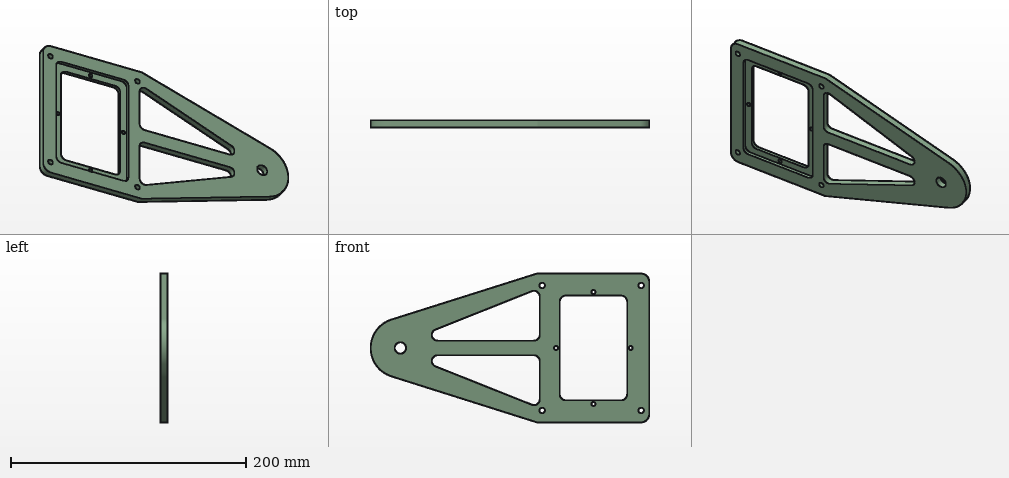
import cadquery as cq
import math

overall_length = 237.2
plate_height = 127.0
thickness = 6.35
nose_radius = 25.4
nose_hole_diameter = 9.525
flat_edge_length = 95.25
plate_corner_radius = 7.62

half_height = plate_height / 2
rear_x = overall_length - nose_radius
shoulder_x = rear_x - flat_edge_length

window_width = 57.15
window_height = 88.9
window_corner_radius = 5.08
window_center_x = rear_x - flat_edge_length / 2
small_hole_diameter = 3.2
small_hole_spacing_x = 63.5
small_hole_spacing_z = 95.25

ledge_width = 6.35
recess_depth = thickness / 2
recess_corner_radius = window_corner_radius

mount_hole_diameter = 4.5
mount_hole_spacing_x = 84.2
mount_hole_spacing_z = 106.3
mount_hole_rear_margin = 7.0
mount_center_x = rear_x - mount_hole_rear_margin - mount_hole_spacing_x / 2

rib_width = 12.7
triangle_rear_x = 118.4
triangle_peak_z = 50.8
triangle_slope_angle = 21.7
triangle_corner_radius = 4.7625


def extrude_through(sketch):
    """Extrude an XZ sketch through the thickness, centred on Y = 0."""
    return sketch.extrude(thickness / 2, both=True)


def make_plate():
    shoulder_distance = math.hypot(shoulder_x, half_height)
    shoulder_direction = math.atan2(half_height, shoulder_x)
    tangent_angle = shoulder_direction + math.acos(nose_radius / shoulder_distance)
    tangent_x = nose_radius * math.cos(tangent_angle)
    tangent_z = nose_radius * math.sin(tangent_angle)
    outline = (
        cq.Workplane("XZ")
        .moveTo(tangent_x, -tangent_z)
        .threePointArc((-nose_radius, 0), (tangent_x, tangent_z))
        .lineTo(shoulder_x, half_height)
        .lineTo(rear_x, half_height)
        .lineTo(rear_x, -half_height)
        .lineTo(shoulder_x, -half_height)
        .close()
    )
    return extrude_through(outline).edges("|Y and >X").fillet(plate_corner_radius)


def make_window():
    outline = cq.Workplane("XZ").center(window_center_x, 0).rect(window_width, window_height)
    return extrude_through(outline).edges("|Y").fillet(window_corner_radius)


def make_recess():
    """Shallow pocket on the +Y face, larger than the window by the ledge on every side."""
    floor_y = thickness / 2 - recess_depth
    return (
        cq.Workplane("XZ", origin=(window_center_x, floor_y, 0))
        .rect(window_width + 2 * ledge_width, window_height + 2 * ledge_width)
        .extrude(-recess_depth)
        .edges("|Y")
        .fillet(recess_corner_radius)
    )


def make_triangle(side):
    """Triangular cutout above (side = 1) or below (side = -1) the rib."""
    base_z = rib_width / 2
    rise = triangle_peak_z - base_z
    tip_x = triangle_rear_x - rise / math.tan(math.radians(triangle_slope_angle))
    outline = cq.Workplane("XZ").polyline([
        (tip_x, side * base_z),
        (triangle_rear_x, side * base_z),
        (triangle_rear_x, side * triangle_peak_z),
    ]).close()
    return extrude_through(outline).edges("|Y").fillet(triangle_corner_radius)


def make_holes(diameter, centers):
    return extrude_through(cq.Workplane("XZ").pushPoints(centers).circle(diameter / 2))


mount_hole_centers = [
    (mount_center_x + side_x * mount_hole_spacing_x / 2, side_z * mount_hole_spacing_z / 2)
    for side_x in (-1, 1)
    for side_z in (-1, 1)
]
small_hole_centers = [
    (window_center_x - small_hole_spacing_x / 2, 0),
    (window_center_x + small_hole_spacing_x / 2, 0),
    (window_center_x, -small_hole_spacing_z / 2),
    (window_center_x, small_hole_spacing_z / 2),
]

result = make_plate().cut(make_window()).cut(make_recess())
for triangle_side in (-1, 1):
    result = result.cut(make_triangle(triangle_side))
result = result.cut(make_holes(nose_hole_diameter, [(0, 0)]))
result = result.cut(make_holes(mount_hole_diameter, mount_hole_centers))
result = result.cut(make_holes(small_hole_diameter, small_hole_centers))